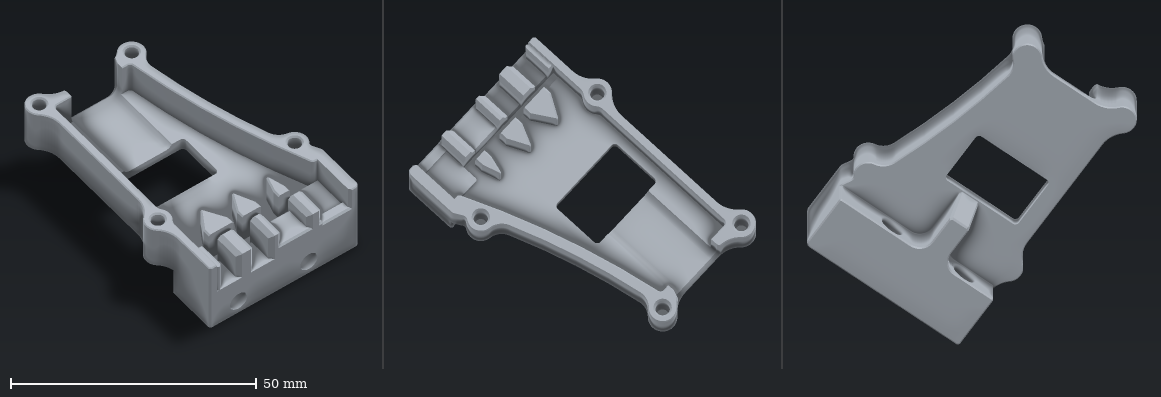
import cadquery as cq
import math

LENGTH = 60.4
WIDTH = 41.5
HEIGHT = 18.2
PLATE_BOTTOM = 7.25
FLOOR = 10.25
EDGE_BREAK = 0.25

BOSS_RADIUS = 3
SCREW_DIAMETER = 3
SCREW_DEPTH = 9.05
SCREW_CHAMFER = 0.35
LEFT_BOSS_X = BOSS_RADIUS
RIGHT_BOSS_X = 42.95
FRONT_BOSS_Y = BOSS_RADIUS
LEFT_BACK_BOSS_Y = 26.7
RIGHT_BACK_BOSS_Y = 38.05
BOSSES = [
    (LEFT_BOSS_X, FRONT_BOSS_Y),
    (RIGHT_BOSS_X, FRONT_BOSS_Y),
    (LEFT_BOSS_X, LEFT_BACK_BOSS_Y),
    (RIGHT_BOSS_X, RIGHT_BACK_BOSS_Y),
]
STRAIGHT_WALL_BLEND = 6.05
LEFT_CURVE_BLEND = 3.6
RIGHT_CURVE_BLEND = 3.9
VALLEY_BLEND = 0.9
SHOULDER_RADIUS = 1.8
BOSS_BLENDS = [
    (LEFT_BOSS_X + BOSS_RADIUS, FRONT_BOSS_Y, STRAIGHT_WALL_BLEND),
    (RIGHT_BOSS_X - BOSS_RADIUS, FRONT_BOSS_Y, STRAIGHT_WALL_BLEND),
    (RIGHT_BOSS_X + BOSS_RADIUS, FRONT_BOSS_Y, STRAIGHT_WALL_BLEND),
    (LEFT_BOSS_X, FRONT_BOSS_Y + BOSS_RADIUS, STRAIGHT_WALL_BLEND),
    (LEFT_BOSS_X, LEFT_BACK_BOSS_Y - BOSS_RADIUS, STRAIGHT_WALL_BLEND),
    (LEFT_BOSS_X + BOSS_RADIUS, 27.3, LEFT_CURVE_BLEND),
    (RIGHT_BOSS_X - BOSS_RADIUS, 36.55, RIGHT_CURVE_BLEND),
    (45.25, 40.05, VALLEY_BLEND),
]

FRONT_OUTER = 3.1
FRONT_INNER = 4.95
LEFT_INNER = 5.4
BACK_INNER = 38.9
CORNER_RADIUS = 1.2
END_CHAMFER = 0.4
POCKET_RADIUS = 0.9
SHELF_RADIUS = 0.5
SHOULDER_X = 47.7
SHOULDER_END = (43.5, 39.2)
BACK_OUTER_LEFT_Y = 26.8
BACK_OUTER_MIDDLE = (24.15, 31.15)
BACK_OUTER_END = (41.7, 37.15)
BACK_INNER_LEFT_Y = 24.6
BACK_INNER_MIDDLE = (28.4, 29.95)
BACK_INNER_RIGHT_Y = 37.7
WALL_END_CHAMFER = 0.6
BUMP_BLEND = 2.05

CHANNEL_CENTER = 16.0
CHANNEL_WIDTH = 12.9
CHANNEL_FLOOR = 9.35
CHANNEL_RADIUS = 1.95
CHANNEL_LIP = 0.8
CHANNEL_FLARE = 0.3

WINDOW_LEFT, WINDOW_RIGHT = 22.5, 34.4
WINDOW_FRONT, WINDOW_BACK = 7.05, 25.1
WINDOW_RADIUS = 0.9

SHELF_LEFT = 53.4
SHELF_BEVEL = 0.55
SHELF_TOP = 13.3
CORNER_SHELF_LEFT = 49.5
CORNER_SHELF_TOP = 11.8
LIP_LEFT = 58.1
LIP_TOP = 12.7
TRENCH_LEFT = 51.95
TRENCH_BACK = 19.75
RIB_FRONT, RIB_BACK = 11.95, 12.85
BAR_TOP = 17.35
BAR_BEVEL = 1.0
WALL_BAR_BEVEL = 0.65
BAR_CORNER_CHAMFER = 0.95
BAR_END_BEVEL = 0.35
BACK_BAR = (28.45, 31.95)
MIDDLE_BAR = (18.7, 21.6)
FRONT_BAR = (10.4, 14.55)
WALL_BAR_BACK = 6.6
POST_TOP = 17.0
POST_CHAMFER = 0.35
POST_NOSE_RADIUS = 0.35
POST_SHOULDER_X = 50.15
POSTS = [
    (45.25, 27.1, 29.95),
    (45.05, 17.8, 22.65),
    (44.95, 9.25, 15.5),
]

BASE_LEFT = 47.9
BASE_CHAMFER = 0.3
BASE_CORNER_RADIUS = 0.5
SNOUT_FRONT, SNOUT_BACK = 16.05, 20.8
SNOUT_TOP_X = 34.7
SNOUT_BOTTOM_X = 38.2
SNOUT_BLEND = 3.15
SNOUT_CHAMFER = 0.5
JOINT_RADIUS = 0.2
BORE_DIAMETER = 4.4
BORE_FLARE = 0.95
BORE_Z = 3.7
BORE_YS = (10.45, 28.45)

TOUCH = 0.05
OVERRUN = 0.6


def block(x0, x1, y0, y1, z0, z1):
    """Box given by its limits along each axis."""
    return cq.Workplane("XY").box(x1 - x0, y1 - y0, z1 - z0, centered=False).translate((x0, y0, z0))


def upright_edges(solid, x, y, reach=0.6):
    """Vertical edges of the solid that pass within reach of (x, y)."""
    near = []
    for edge in solid.edges("|Z").vals():
        middle = edge.Center()
        if math.hypot(middle.x - x, middle.y - y) < reach:
            near.append(edge)
    return solid.newObject(near)


def plate():
    """Outer body of the tray with its four blended bosses, still without the pocket."""
    body = (
        cq.Workplane("XY", origin=(0, 0, PLATE_BOTTOM))
        .moveTo(LEFT_BOSS_X, FRONT_OUTER)
        .lineTo(LENGTH, FRONT_OUTER)
        .lineTo(LENGTH, WIDTH)
        .lineTo(SHOULDER_X, WIDTH)
        .lineTo(*SHOULDER_END)
        .lineTo(*BACK_OUTER_END)
        .threePointArc(BACK_OUTER_MIDDLE, (LEFT_BOSS_X, BACK_OUTER_LEFT_Y))
        .close()
        .extrude(HEIGHT - PLATE_BOTTOM)
    )
    body = upright_edges(body, LENGTH, WIDTH).fillet(CORNER_RADIUS)
    body = upright_edges(body, LENGTH, FRONT_OUTER).chamfer(END_CHAMFER)
    body = upright_edges(body, SHOULDER_X, WIDTH).fillet(SHOULDER_RADIUS)
    for x, y in BOSSES:
        body = body.union(cq.Workplane("XY", origin=(x, y, PLATE_BOTTOM)).circle(BOSS_RADIUS)
                          .extrude(HEIGHT - PLATE_BOTTOM))
    body = body.clean()
    for x, y, radius in BOSS_BLENDS:
        body = upright_edges(body, x, y).fillet(radius)
    return body.faces("<Z").edges().chamfer(EDGE_BREAK)


def pocket():
    """Space inside the tray walls, open at the right end."""
    space = (
        cq.Workplane("XY", origin=(0, 0, FLOOR))
        .moveTo(LEFT_INNER, FRONT_INNER)
        .lineTo(LENGTH + OVERRUN, FRONT_INNER)
        .lineTo(LENGTH + OVERRUN, BACK_INNER)
        .lineTo(CORNER_SHELF_LEFT, BACK_INNER)
        .lineTo(CORNER_SHELF_LEFT, BACK_INNER_RIGHT_Y)
        .threePointArc(BACK_INNER_MIDDLE, (LEFT_INNER, BACK_INNER_LEFT_Y))
        .close()
        .extrude(HEIGHT)
    )
    space = space.edges("|Z and <X").fillet(POCKET_RADIUS)
    return upright_edges(space, CORNER_SHELF_LEFT, BACK_INNER_RIGHT_Y).fillet(POCKET_RADIUS)


def channel_section(x, growth):
    """U-shaped channel section at x, its sides and floor moved out by growth (side, down)."""
    side, down = growth
    half = CHANNEL_WIDTH / 2 + side
    bottom = CHANNEL_FLOOR - down
    radius = CHANNEL_RADIUS + side
    bend = radius * (1 - math.sqrt(0.5))
    top = HEIGHT + OVERRUN
    return (
        cq.Workplane("YZ", origin=(x, CHANNEL_CENTER, 0))
        .moveTo(-half, top)
        .lineTo(-half, bottom + radius)
        .threePointArc((-half + bend, bottom + bend), (-half + radius, bottom))
        .lineTo(half - radius, bottom)
        .threePointArc((half - bend, bottom + bend), (half, bottom + radius))
        .lineTo(half, top)
        .close()
    )


def channel():
    """Round-bottomed channel from the left wall to the window, with a flared mouth."""
    groove = channel_section(0, (0, 0)).extrude(WINDOW_LEFT + OVERRUN)
    inner = channel_section(LEFT_BOSS_X + CHANNEL_LIP, (0, 0)).wires().val()
    outer = channel_section(LEFT_BOSS_X - CHANNEL_LIP, (2 * CHANNEL_FLARE, 2 * CHANNEL_LIP)).wires().val()
    mouth = cq.Solid.makeLoft([inner, outer], True)
    return groove.union(cq.Workplane(obj=mouth))


def screw_hole(x, y):
    """Blind screw hole with a chamfered mouth and a chamfered bottom."""
    radius = SCREW_DIAMETER / 2
    hole = cq.Workplane("XY", origin=(x, y, HEIGHT - SCREW_DEPTH)).circle(radius).extrude(SCREW_DEPTH)
    hole = hole.faces("<Z").edges().chamfer(EDGE_BREAK)
    mouth = cq.Solid.makeCone(radius, radius + SCREW_CHAMFER, SCREW_CHAMFER,
                              pnt=cq.Vector(x, y, HEIGHT - SCREW_CHAMFER))
    return hole.union(cq.Workplane(obj=mouth))


def bar(front, back, bevel=BAR_BEVEL, bevelled="|X and >Z"):
    """Bar standing at the right end with bevelled long edges."""
    solid = block(SHELF_LEFT, LENGTH, front, back, PLATE_BOTTOM, BAR_TOP)
    solid = solid.edges("|Z and >X").chamfer(BAR_CORNER_CHAMFER)
    solid = solid.edges(bevelled).chamfer(bevel)
    return solid.faces("<X").edges("|Y and >Z").chamfer(BAR_END_BEVEL)


def post(nose, front, back):
    """Pointed post on the floor, its nose toward the left."""
    middle = (front + back) / 2
    solid = (
        cq.Workplane("XY", origin=(0, 0, PLATE_BOTTOM))
        .polyline([(nose, middle), (POST_SHOULDER_X, front), (TRENCH_LEFT, front),
                   (TRENCH_LEFT, back), (POST_SHOULDER_X, back)])
        .close()
        .extrude(POST_TOP - PLATE_BOTTOM)
    )
    solid = solid.edges("|Z and <X").fillet(POST_NOSE_RADIUS)
    return solid.faces(">Z").edges("not >X").chamfer(POST_CHAMFER)


def shelf(front, back, top):
    """Step along the right end, bevelled along its left and right edges."""
    step = block(SHELF_LEFT, LENGTH, front, back, PLATE_BOTTOM, top)
    step = step.edges("<X and >Z").chamfer(SHELF_BEVEL)
    return step.edges(">X and >Z").chamfer(END_CHAMFER)


def corner_shelf():
    """Low shelf in the back corner with a raised lip along the right end."""
    wall_y = BACK_INNER + OVERRUN
    low = block(CORNER_SHELF_LEFT, LENGTH, BACK_BAR[1], wall_y, PLATE_BOTTOM, CORNER_SHELF_TOP)
    low = low.edges("|Z and <X and <Y").fillet(SHELF_RADIUS)
    lip = block(LIP_LEFT, LENGTH, BACK_BAR[1], wall_y, PLATE_BOTTOM, LIP_TOP)
    lip = lip.edges(">X and >Z").chamfer(END_CHAMFER)
    return low.union(lip)


def trench(front, back):
    """Shallow floor groove behind the posts with a sloped right side."""
    bottom = FLOOR - SHELF_BEVEL
    return (
        cq.Workplane("XZ", origin=(0, back, 0))
        .polyline([(TRENCH_LEFT, FLOOR), (TRENCH_LEFT, bottom), (SHELF_LEFT, bottom),
                   (SHELF_LEFT + SHELF_BEVEL, FLOOR)])
        .close()
        .extrude(back - front)
    )


def base():
    """Block below the right end with its snout, still without the bores."""
    body = block(BASE_LEFT, LENGTH, FRONT_OUTER, WIDTH, 0, PLATE_BOTTOM + OVERRUN)
    body = body.edges("|Z and >X and >Y").fillet(CORNER_RADIUS)
    body = body.edges("|Z and >X and <Y").chamfer(END_CHAMFER)
    body = body.edges("|Z and <X").fillet(BASE_CORNER_RADIUS)
    snout = (
        cq.Workplane("XZ", origin=(0, SNOUT_BACK, 0))
        .polyline([(SNOUT_BOTTOM_X, 0), (BASE_LEFT + OVERRUN, 0),
                   (BASE_LEFT + OVERRUN, PLATE_BOTTOM), (SNOUT_TOP_X, PLATE_BOTTOM)])
        .close()
        .extrude(SNOUT_BACK - SNOUT_FRONT)
    )
    snout = snout.faces("<X").edges("not |Y").chamfer(SNOUT_CHAMFER)
    body = body.union(snout).clean()
    for y in (SNOUT_FRONT, SNOUT_BACK):
        body = upright_edges(body, BASE_LEFT, y).fillet(SNOUT_BLEND)
    return body.faces("<Z").edges().chamfer(BASE_CHAMFER)


def bore(y):
    """Through bore along X with a rounded mouth on the left."""
    radius = BORE_DIAMETER / 2
    mouth = radius + BORE_FLARE
    throat_x = BASE_LEFT + BORE_FLARE
    bend = BORE_FLARE * (1 - math.sqrt(0.5))
    return (
        cq.Workplane("XY", origin=(0, y, BORE_Z))
        .moveTo(SNOUT_TOP_X, 0)
        .lineTo(SNOUT_TOP_X, mouth)
        .lineTo(BASE_LEFT, mouth)
        .threePointArc((BASE_LEFT + bend, radius + bend), (throat_x, radius))
        .lineTo(LENGTH + OVERRUN, radius)
        .lineTo(LENGTH + OVERRUN, 0)
        .close()
        .revolve(360, (0, 0, 0), (1, 0, 0))
    )


tray = plate().cut(pocket())
inner_boss = (
    cq.Workplane("XY", origin=(RIGHT_BOSS_X, FRONT_BOSS_Y, FLOOR - OVERRUN))
    .circle(BOSS_RADIUS)
    .extrude(HEIGHT - FLOOR + OVERRUN)
)
tray = tray.union(inner_boss).clean()
bump_half = math.sqrt(BOSS_RADIUS ** 2 - (FRONT_INNER - FRONT_BOSS_Y) ** 2)
for side in (-1, 1):
    tray = upright_edges(tray, RIGHT_BOSS_X + side * bump_half, FRONT_INNER).fillet(BUMP_BLEND)
tray = upright_edges(tray, LENGTH, BACK_INNER).chamfer(WALL_END_CHAMFER)
plain_rim = cq.selectors.BoxSelector(
    (CORNER_SHELF_LEFT - OVERRUN, BACK_INNER - OVERRUN, FLOOR),
    (LENGTH + OVERRUN, BACK_INNER + OVERRUN, HEIGHT + OVERRUN),
)
tray = tray.faces(">Z").edges(cq.selectors.InverseSelector(plain_rim)).chamfer(EDGE_BREAK)
tray = tray.cut(channel())

tray = tray.cut(trench(FRONT_INNER, RIB_FRONT))
tray = tray.cut(trench(RIB_BACK, TRENCH_BACK))
tray = tray.union(shelf(sum(MIDDLE_BAR) / 2, BACK_BAR[1], SHELF_TOP))
tray = tray.union(corner_shelf())
for front, back in (FRONT_BAR, MIDDLE_BAR, BACK_BAR):
    tray = tray.union(bar(front, back))
tray = tray.union(bar(FRONT_INNER - OVERRUN, WALL_BAR_BACK, WALL_BAR_BEVEL, "|X and >Z and >Y"))
for nose, front, back in POSTS:
    tray = tray.union(post(nose, front, back))

result = tray.union(base())
joint = cq.selectors.BoxSelector(
    (SNOUT_TOP_X - OVERRUN, SNOUT_FRONT - 2 * SNOUT_BLEND, PLATE_BOTTOM - TOUCH),
    (BASE_LEFT + TOUCH, SNOUT_BACK + 2 * SNOUT_BLEND, PLATE_BOTTOM + TOUCH),
)
result = result.edges(joint).fillet(JOINT_RADIUS)
for y in BORE_YS:
    result = result.cut(bore(y))
window = block(WINDOW_LEFT, WINDOW_RIGHT, WINDOW_FRONT, WINDOW_BACK, PLATE_BOTTOM - OVERRUN, HEIGHT)
result = result.cut(window.edges("|Z").fillet(WINDOW_RADIUS))
for x, y in BOSSES:
    result = result.cut(screw_hole(x, y))